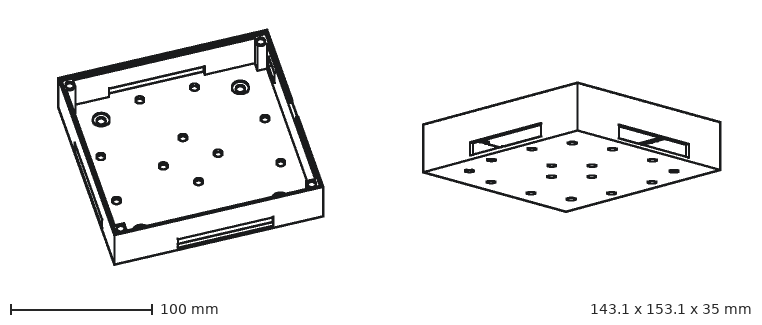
import cadquery as cq

length_x = 143.1
length_y = 153.1
height = 35.0
wall = 3.0
floor = 3.0

lip_thickness = 1.5
lip_height = 2.5
notch_width = 14.5

post_size = 10.0
screw_inset = 6.6
screw_diameter = 6.1
screw_depth = 1.8

hole_pitch = 20.0
hole_diameter = 6.3
mount_offset = 51.0
mount_diameter = 6.5
recess_diameter = 12.0
recess_depth = 1.4

window_start = -30.0
window_length = 70.1
window_bottom = 2.8
window_top = 12.7
port_start = -57.4
port_length = 15.0
port_bottom = 11.0
port_height = 12.0

half_x = length_x / 2
half_y = length_y / 2
rim = height - lip_height
cut_depth = 2 * wall


def block(x_start, y_start, z_start, x_size, y_size, z_size):
    """Box placed by its lowest corner."""
    corner = (x_start, y_start, z_start)
    return cq.Workplane("XY").box(x_size, y_size, z_size, centered=False).translate(corner)


def rods(points, diameter, z_start, depth):
    """Vertical cylinders at the given XY points."""
    return cq.Workplane("XY", origin=(0, 0, z_start)).pushPoints(points).circle(diameter / 2).extrude(depth)


def mirrored(x, y):
    """The four points symmetric about both axes."""
    return [(sx * x, sy * y) for sx in (-1, 1) for sy in (-1, 1)]


def make_shell():
    shell = block(-half_x, -half_y, 0, length_x, length_y, height)
    cavity = block(
        wall - half_x, wall - half_y, floor,
        length_x - 2 * wall, length_y - 2 * wall, height,
    )
    corner_posts = (
        cq.Workplane("XY")
        .pushPoints(mirrored(half_x - post_size / 2, half_y - post_size / 2))
        .rect(post_size, post_size)
        .extrude(height)
    )
    return shell.cut(cavity).union(corner_posts)


def make_rebate():
    rebate = block(
        lip_thickness - half_x, lip_thickness - half_y, rim,
        length_x - 2 * lip_thickness, length_y - 2 * lip_thickness, lip_height,
    )
    notch = block(-notch_width / 2, half_y - wall, rim, notch_width, wall, lip_height)
    return rebate.union(notch)


def make_floor_holes():
    points = (
        [(side * hole_pitch, 0) for side in (-1, 1)]
        + [(0, side * hole_pitch) for side in (-1, 1)]
        + mirrored(hole_pitch, 3 * hole_pitch)
        + mirrored(3 * hole_pitch, hole_pitch)
    )
    return rods(points, hole_diameter, 0, floor)


def make_mount_holes():
    points = mirrored(mount_offset, mount_offset)
    recesses = rods(points, recess_diameter, floor - recess_depth, recess_depth)
    return rods(points, mount_diameter, 0, floor).union(recesses)


def make_window(angle, wall_distance, sill):
    """Cutter for the front wall, turned about Z to the wall at wall_distance."""
    window = block(
        window_start, -wall_distance - wall, sill,
        window_length, cut_depth, window_top - sill,
    )
    return window.rotate((0, 0, 0), (0, 0, 1), angle)


result = make_shell().cut(make_rebate())
result = result.cut(rods(mirrored(half_x - screw_inset, half_y - screw_inset),
                         screw_diameter, rim - screw_depth, screw_depth))
result = result.cut(make_floor_holes()).cut(make_mount_holes())

for angle, wall_distance, sill in (
    (0, half_y, window_bottom),
    (90, half_x, window_bottom),
    (-90, half_x, floor),
):
    result = result.cut(make_window(angle, wall_distance, sill))

result = result.cut(block(port_start, half_y - wall, port_bottom, port_length, cut_depth, port_height))